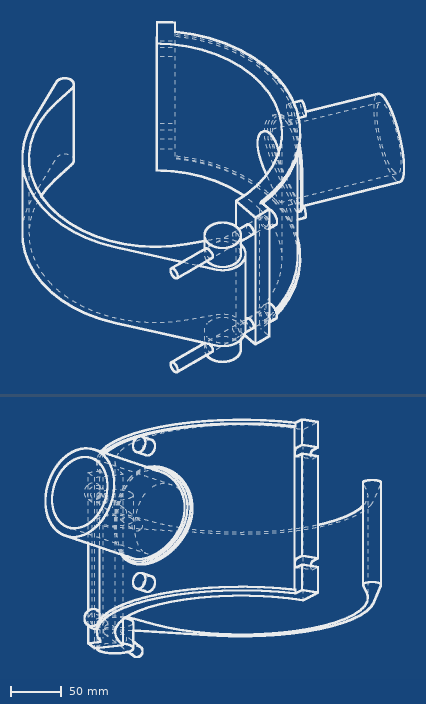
import cadquery as cq
import math


bore_radius = 125.0
rim_radius = 143.0
shell_radius = 140.2
saddle_height = 176.0
rim_height = 3.8
end_angle = 20.0
flange_radius = 155.0
flange_thickness = 18.0

branch_end = 244.5
branch_diameter = 90.0
branch_bore = 72.0
collar_diameter = 99.0
collar_top_radius = 145.0
collar_chamfer = 2.0

stud_diameter = 16.0
stud_end = 154.5
stud_height = 70.3

slot_width = 9.0
slot_height = 57.0
slot_depth = 15.0

bolt_diameter = 11.3
bolt_head_diameter = 17.5
bolt_head_length = 9.5
bolt_radial = 146.5
bolt_reach = 97.0
bolt_height = 65.0

band_outer_radius = 131.5
band_height = 105.3
hinge_offset = 35.0
lug_radius = 22.5
pin_diameter = 36.0
pin_length = 158.0
bulb_radius = 9.0
bulb_x, bulb_y = -127.0, -50.0

end_direction = math.radians(end_angle)


def polar(radius, angle, center=(0, 0)):
    return (center[0] + radius * math.cos(angle), center[1] + radius * math.sin(angle))


def end_frame_point(radial, along):
    """XY point given by distance out along the right end face and distance off that face."""
    return polar(along, end_direction + math.pi / 2, polar(radial, end_direction))


def upright_cylinder(radius, height, center=(0, 0)):
    return cq.Workplane("XY").center(*center).circle(radius).extrude(height / 2, both=True)


def branch_cylinder(diameter, end, height=0):
    """Cylinder along +Y from the clamp axis, at the given height."""
    return cq.Workplane("XZ", origin=(0, 0, height)).circle(diameter / 2).extrude(-end)


def sector(height):
    """Wedge that covers the angle between the two end faces."""
    size = 2 * branch_end
    right = polar(size, end_direction)
    left = (-right[0], right[1])
    outline = cq.Workplane("XY").polyline([(0, 0), right, (right[0], size), (left[0], size), left])
    return outline.close().extrude(height / 2, both=True)


def right_flange():
    corners = [
        end_frame_point(bore_radius, 0),
        end_frame_point(flange_radius, 0),
        end_frame_point(flange_radius, flange_thickness),
        end_frame_point(bore_radius, flange_thickness),
    ]
    return cq.Workplane("XY").polyline(corners).close().extrude(saddle_height / 2, both=True)


def collar():
    ring = upright_cylinder(collar_top_radius, saddle_height)
    ring = ring.intersect(branch_cylinder(collar_diameter, branch_end))
    return ring.edges(">Y").chamfer(collar_chamfer)


def bolt_plane(along, height):
    """Plane square to the bolt axis, its normal pointing from the hinge to the bolt head."""
    x, y = end_frame_point(bolt_radial, along)
    normal = (-math.sin(end_direction), math.cos(end_direction), 0)
    return cq.Plane(origin=(x, y, height), xDir=(0, 0, 1), normal=normal)


def bolt_shank(height):
    return (
        cq.Workplane(bolt_plane(-bolt_reach, height))
        .circle(bolt_diameter / 2)
        .extrude(bolt_reach + flange_thickness)
    )


def bolt_head(height):
    return (
        cq.Workplane(bolt_plane(flange_thickness, height))
        .circle(bolt_head_diameter / 2)
        .extrude(bolt_head_length)
    )


def make_bolt(height):
    return bolt_shank(height).union(bolt_head(height))


def latch_slot(height):
    """Round-ended slot, open at the outer edge of the left flange."""
    start = flange_radius - slot_depth
    length = 2 * slot_depth
    normal = (math.sin(end_direction), math.cos(end_direction), 0)
    outward = (-math.cos(end_direction), math.sin(end_direction), 0)
    plane = cq.Plane(origin=(0, 0, height), xDir=outward, normal=normal)
    return (
        cq.Workplane(plane)
        .center(start + length / 2, 0)
        .slot2D(length, slot_width)
        .extrude(flange_thickness, both=True)
    )


def make_saddle():
    shell = upright_cylinder(rim_radius, saddle_height)
    recess = upright_cylinder(rim_radius, saddle_height - 2 * rim_height)
    recess = recess.cut(upright_cylinder(shell_radius, saddle_height))
    body = shell.cut(recess).intersect(sector(saddle_height))
    flange = right_flange()
    body = body.union(flange).union(flange.mirror("YZ"))
    body = body.union(collar().intersect(sector(saddle_height)))
    body = body.union(branch_cylinder(branch_diameter, branch_end))
    for side in (-1, 1):
        body = body.union(branch_cylinder(stud_diameter, stud_end, side * stud_height))
    body = body.cut(upright_cylinder(bore_radius, saddle_height))
    body = body.cut(branch_cylinder(branch_bore, branch_end))
    for side in (-1, 1):
        body = body.cut(latch_slot(side * slot_height))
        body = body.cut(bolt_shank(side * bolt_height))
        body = body.cut(bolt_head(side * bolt_height))
    return body


def band_outline(hinge, bulb):
    """Circular strip joined to the hinge lug and latch bulb by lines tangent to all arcs."""
    hinge_distance, hinge_angle = math.hypot(*hinge), math.atan2(hinge[1], hinge[0])
    bulb_distance, bulb_angle = math.hypot(*bulb), math.atan2(bulb[1], bulb[0])

    lug_inner = hinge_angle - math.acos((bore_radius + lug_radius) / hinge_distance)
    lug_outer = hinge_angle - math.acos((band_outer_radius - lug_radius) / hinge_distance)
    bulb_inner = bulb_angle + math.acos((bore_radius + bulb_radius) / bulb_distance)
    bulb_outer = bulb_angle + math.acos((band_outer_radius - bulb_radius) / bulb_distance)

    bottom = -math.pi / 2
    return (
        cq.Workplane("XY")
        .moveTo(*polar(bore_radius, bulb_inner))
        .threePointArc(polar(bore_radius, bottom), polar(bore_radius, lug_inner))
        .lineTo(*polar(-lug_radius, lug_inner, hinge))
        .threePointArc(polar(lug_radius, hinge_angle, hinge), polar(lug_radius, lug_outer, hinge))
        .lineTo(*polar(band_outer_radius, lug_outer))
        .threePointArc(polar(band_outer_radius, bottom), polar(band_outer_radius, bulb_outer))
        .lineTo(*polar(bulb_radius, bulb_outer, bulb))
        .threePointArc(polar(bulb_radius, bulb_angle, bulb), polar(-bulb_radius, bulb_inner, bulb))
        .close()
    )


def make_band():
    hinge = end_frame_point(bolt_radial, -hinge_offset)
    body = band_outline(hinge, (bulb_x, bulb_y)).extrude(band_height / 2, both=True)
    body = body.union(upright_cylinder(pin_diameter / 2, pin_length, hinge))
    for side in (-1, 1):
        body = body.cut(bolt_shank(side * bolt_height))
    return body


saddle = make_saddle()
band = make_band()
bolts = [make_bolt(side * bolt_height) for side in (-1, 1)]

result = cq.Compound.makeCompound([saddle.val(), band.val(), *[bolt.val() for bolt in bolts]])